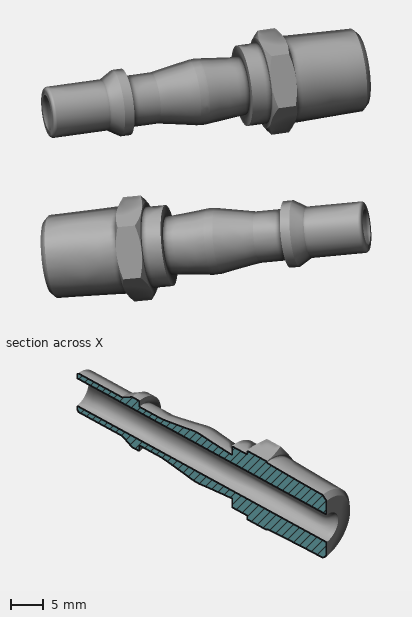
import cadquery as cq
import math


COLLAR_CONE_START = 9.0
COLLAR_RIM_START = 11.0
COLLAR_END = 12.5
BULGE_START = 17.0
BULGE_CREST = 24.0
SHOULDER_START = 31.0
HEX_START = 34.0
HEX_END = 38.0
THREAD_GAUGE_PLANE = 44.0
TOTAL_LENGTH = 50.0

BORE_DIAMETER = 5.5
PLUG_RADIUS = 7.95 / 2
TIP_FILLET = 0.5
COLLAR_RADIUS = 10.3 / 2

CROWN_RADIUS = 5.0
CREST_RADIUS = COLLAR_RADIUS
FRONT_CONE_ANGLE = math.radians(10.0)
REAR_CONE_ANGLE = math.radians(5.7)

SHOULDER_RADIUS = 12.5 / 2
HEX_ACROSS_FLATS = 14.0
HEX_CHAMFER_ANGLE = math.radians(30.0)

THREAD_GAUGE_DIAMETER = 13.157
THREAD_TAPER = 1 / 16
THREAD_CHAMFER = 0.8


def crown_point(angle):
    """Point (radius, station) on the crown arc at a signed angle from its crest."""
    radius = CREST_RADIUS - CROWN_RADIUS * (1 - math.cos(angle))
    return radius, BULGE_CREST + CROWN_RADIUS * math.sin(angle)


def thread_radius(station):
    """Radius of the tapered thread envelope at a station."""
    return (THREAD_GAUGE_DIAMETER - THREAD_TAPER * (station - THREAD_GAUGE_PLANE)) / 2


def revolve_about_y(profile):
    """Turn a closed (radius, station) profile fully around the Y axis."""
    return profile.revolve(360, (0, 0, 0), (0, 1, 0))


def turned_body():
    """Plug, collar, bulge, shoulder and tapered thread in one revolved profile."""
    tip_fillet_middle = (
        PLUG_RADIUS - TIP_FILLET * (1 - math.cos(math.pi / 4)),
        TIP_FILLET * (1 - math.sin(math.pi / 4)),
    )
    crown_front = crown_point(-FRONT_CONE_ANGLE)
    crown_rear = crown_point(REAR_CONE_ANGLE)
    rear_cone_length = SHOULDER_START - crown_rear[1]
    rear_cone_radius = crown_rear[0] - rear_cone_length * math.tan(REAR_CONE_ANGLE)
    chamfer_start = TOTAL_LENGTH - THREAD_CHAMFER
    chamfer_radius = thread_radius(chamfer_start)

    profile = (
        cq.Workplane("XY")
        .lineTo(PLUG_RADIUS - TIP_FILLET, 0)
        .threePointArc(tip_fillet_middle, (PLUG_RADIUS, TIP_FILLET))
        .lineTo(PLUG_RADIUS, COLLAR_CONE_START)
        .lineTo(COLLAR_RADIUS, COLLAR_RIM_START)
        .lineTo(COLLAR_RADIUS, COLLAR_END)
        .lineTo(PLUG_RADIUS, COLLAR_END)
        .lineTo(PLUG_RADIUS, BULGE_START)
        .lineTo(*crown_front)
        .threePointArc(crown_point(0), crown_rear)
        .lineTo(rear_cone_radius, SHOULDER_START)
        .lineTo(SHOULDER_RADIUS, SHOULDER_START)
        .lineTo(SHOULDER_RADIUS, HEX_END)
        .lineTo(thread_radius(HEX_END), HEX_END)
        .lineTo(chamfer_radius, chamfer_start)
        .lineTo(chamfer_radius - THREAD_CHAMFER, TOTAL_LENGTH)
        .lineTo(0, TOTAL_LENGTH)
        .close()
    )
    return revolve_about_y(profile)


def hexagon():
    """Hexagon with corners on the X axis, chamfered conically on both faces."""
    corner_radius = HEX_ACROSS_FLATS / 2 / math.cos(math.pi / 6)
    prism = (
        cq.Workplane("XZ", origin=(0, HEX_START, 0))
        .polygon(6, 2 * corner_radius)
        .extrude(HEX_START - HEX_END)
    )
    face_radius = HEX_ACROSS_FLATS / 2
    chamfer_depth = (corner_radius - face_radius) * math.tan(HEX_CHAMFER_ANGLE)
    chamfer_envelope = revolve_about_y(
        cq.Workplane("XY")
        .moveTo(0, HEX_START)
        .lineTo(face_radius, HEX_START)
        .lineTo(corner_radius, HEX_START + chamfer_depth)
        .lineTo(corner_radius, HEX_END - chamfer_depth)
        .lineTo(face_radius, HEX_END)
        .lineTo(0, HEX_END)
        .close()
    )
    return prism.intersect(chamfer_envelope)


def bore():
    """Straight passage through the whole length."""
    return cq.Workplane("XZ").circle(BORE_DIAMETER / 2).extrude(-TOTAL_LENGTH)


result = turned_body().union(hexagon()).cut(bore())